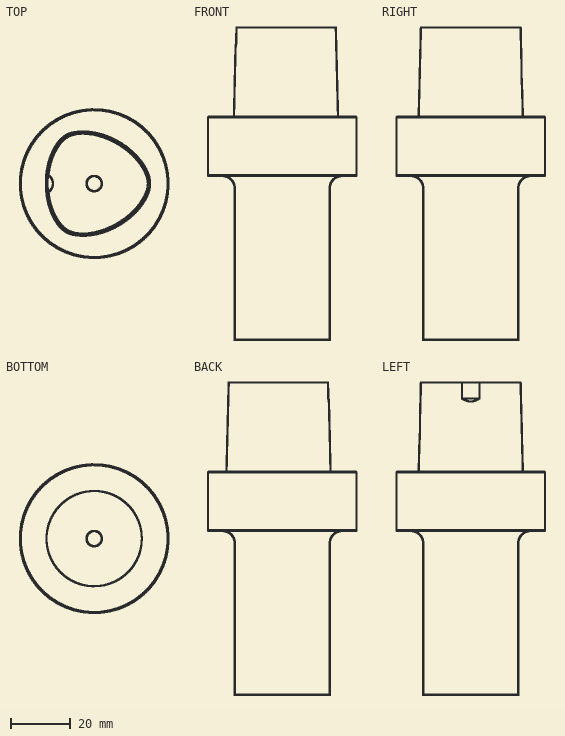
import cadquery as cq
import math

total_height = 105.0
taper_height = 30.0
flange_height = 20.0
flange_top = total_height - taper_height
flange_bottom = flange_top - flange_height

flange_diameter = 50.0
flange_chamfer = 0.3
shank_diameter = 32.0
shank_fillet = 4.0
bore_diameter = 5.0

lobe_count = 3
lobe_height = 1.3
taper_base_radius = 17.5
taper_slope = 1 / 40
taper_top_radius = taper_base_radius - taper_height * taper_slope
curve_points = 72

notch_radius = 3.5
notch_center_x = -17.3
notch_depth = 5.5
drill_point_angle = 120.0
drill_point_height = notch_radius / math.tan(math.radians(drill_point_angle / 2))


def lobed_profile(mean_radius):
    """Constant-width curve whose tangents lie mean_radius + lobe_height*cos(3a) from the axis."""

    def point(t):
        angle = 2 * math.pi * t
        reach = mean_radius + lobe_height * math.cos(lobe_count * angle)
        slide = -lobe_count * lobe_height * math.sin(lobe_count * angle)
        return (
            reach * math.cos(angle) - slide * math.sin(angle),
            reach * math.sin(angle) + slide * math.cos(angle),
            0,
        )

    curve = cq.Workplane("XY").parametricCurve(point, N=curve_points)
    return curve.val()


def make_round_body():
    """Shank and flange, with a fillet blending them and chamfered flange rims."""
    shank_radius = shank_diameter / 2
    flange_radius = flange_diameter / 2
    fillet_start = flange_bottom - shank_fillet
    fillet_center_x = shank_radius + shank_fillet
    fillet_reach = shank_fillet * math.sqrt(0.5)
    return (
        cq.Workplane("XZ")
        .lineTo(shank_radius, 0)
        .lineTo(shank_radius, fillet_start)
        .threePointArc(
            (fillet_center_x - fillet_reach, fillet_start + fillet_reach),
            (fillet_center_x, flange_bottom),
        )
        .lineTo(flange_radius - flange_chamfer, flange_bottom)
        .lineTo(flange_radius, flange_bottom + flange_chamfer)
        .lineTo(flange_radius, flange_top - flange_chamfer)
        .lineTo(flange_radius - flange_chamfer, flange_top)
        .lineTo(0, flange_top)
        .close()
        .revolve(360, (0, 0), (0, 1))
    )


def make_taper():
    """Lobed shank narrowing evenly from the flange to the top face."""
    base = lobed_profile(taper_base_radius).moved(cq.Location(cq.Vector(0, 0, flange_top)))
    top = lobed_profile(taper_top_radius).moved(cq.Location(cq.Vector(0, 0, total_height)))
    return cq.Workplane(cq.Solid.makeLoft([base, top], True))


def make_notch_cutter():
    """Drill shape with a conical point, opening at the top face."""
    notch_floor = total_height - notch_depth
    cutter = (
        cq.Workplane("XZ")
        .moveTo(0, notch_floor - drill_point_height)
        .lineTo(notch_radius, notch_floor)
        .lineTo(notch_radius, total_height)
        .lineTo(0, total_height)
        .close()
        .revolve(360, (0, 0), (0, 1))
    )
    return cutter.translate((notch_center_x, 0, 0))


bore = cq.Workplane("XY").circle(bore_diameter / 2).extrude(total_height)

result = make_round_body().union(make_taper()).cut(make_notch_cutter()).cut(bore)